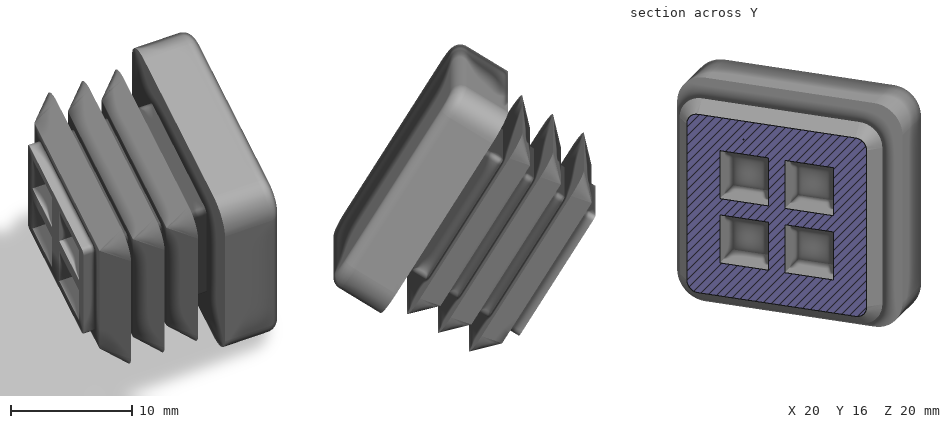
import cadquery as cq

cap_size = 20.0
cap_depth = 5.0
cap_corner_radius = 2.5
cap_edge_radius = 1.0

core_size = 12.0
core_length = 11.0
core_corner_radius = 0.5

fin_tip_size = 14.0
fin_depth = 2.0
fin_flare_angle = 45.0
fin_count = 3
fin_pitch = 3.0
fin_first_gap = 2.0

pocket_rows = 2
outer_wall = 1.0
inner_wall = 1.5
pocket_depth = core_length
pocket_size = (core_size - 2 * outer_wall - (pocket_rows - 1) * inner_wall) / pocket_rows
pocket_pitch = pocket_size + inner_wall


def plane_at(y):
    """XZ sketch plane at the given Y, with extrusion towards +Y."""
    return cq.Workplane(cq.Plane(origin=(0, y, 0), xDir=(-1, 0, 0), normal=(0, 1, 0)))


def make_cap():
    """Cap with its front face at Y = 0 and a rounded rear edge."""
    block = plane_at(0).rect(cap_size, cap_size).extrude(cap_depth)
    block = block.edges("|Y").fillet(cap_corner_radius)
    return block.faces(">Y").edges().fillet(cap_edge_radius)


def make_core():
    """Solid stem with slightly rounded long edges."""
    stem = plane_at(-core_length).rect(core_size, core_size).extrude(core_length)
    return stem.edges("|Y").fillet(core_corner_radius)


def make_fin(wide_face_y):
    """Sharp-cornered square flaring towards the cap, with conical corners."""
    square = plane_at(wide_face_y - fin_depth).rect(fin_tip_size, fin_tip_size)
    return square.extrude(fin_depth, taper=-fin_flare_angle)


def make_pockets():
    """Cutting blocks for the grid of square pockets."""
    grid = plane_at(-core_length).rarray(pocket_pitch, pocket_pitch, pocket_rows, pocket_rows)
    return grid.rect(pocket_size, pocket_size).extrude(pocket_depth)


result = make_cap().union(make_core())
for index in range(fin_count):
    result = result.union(make_fin(-fin_first_gap - index * fin_pitch))
result = result.cut(make_pockets())